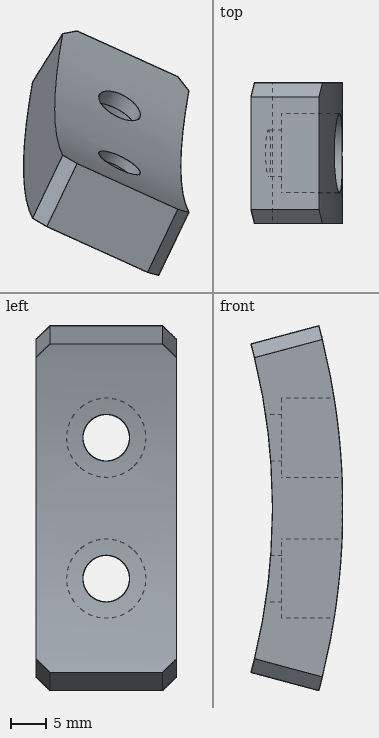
import cadquery as cq
import math

outer_radius = 100.0
thickness = 10.0
half_angle = 15.0
width = 20.0
corner_chamfer = 2.0
hole_diameter = 6.55
hole_offset = 10.0
head_diameter = 11.25
head_depth = 8.7

inner_radius = outer_radius - thickness


def arc_point(radius, angle):
    """Point in the XZ plane at an angle in degrees from the X axis."""
    return (radius * math.cos(math.radians(angle)), radius * math.sin(math.radians(angle)))


def curved_block():
    """Ring segment, curved about the Y axis, with its four radial corners chamfered."""
    block = (
        cq.Workplane("XZ")
        .moveTo(*arc_point(inner_radius, -half_angle))
        .threePointArc((inner_radius, 0), arc_point(inner_radius, half_angle))
        .lineTo(*arc_point(outer_radius, half_angle))
        .threePointArc((outer_radius, 0), arc_point(outer_radius, -half_angle))
        .close()
        .extrude(width / 2, both=True)
    )
    radial_corners = block.faces("<Y or >Y").edges("%LINE")
    return radial_corners.chamfer(corner_chamfer)


def cylinder_along_x(diameter, start_x, end_x, height):
    return (
        cq.Workplane("YZ", origin=(start_x, 0, height))
        .circle(diameter / 2)
        .extrude(end_x - start_x)
    )


result = curved_block()

for height in (-hole_offset, hole_offset):
    result = result.cut(cylinder_along_x(hole_diameter, 0, outer_radius, height))
    result = result.cut(cylinder_along_x(head_diameter, outer_radius - head_depth, outer_radius, height))